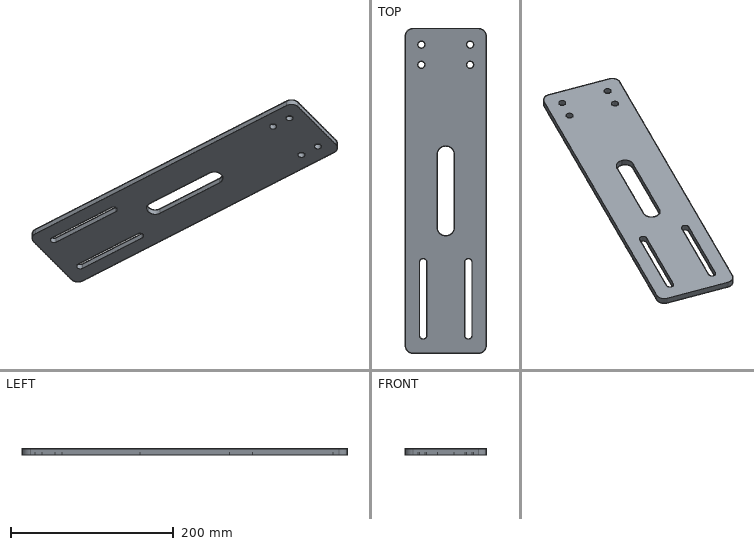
import cadquery as cq

width = 100.0
length = 400.0
thickness = 8.0
corner_radius = 10.0

hole_diameter = 8.5
hole_spacing_x = 60.0
hole_rows_y = (155.0, 180.0)

window_width = 21.0
window_length = 110.0
window_corner_radius = 10.0

slot_width = 9.0
slot_length = 99.0
slot_spacing = 55.5
slot_center_y = -133.0


def make_plate():
    plate = cq.Workplane("XY").box(width, length, thickness)
    return plate.edges("|Z").fillet(corner_radius)


def cut_mounting_holes(body):
    half_spacing = hole_spacing_x / 2
    centers = [(side * half_spacing, y) for side in (-1, 1) for y in hole_rows_y]
    return body.faces(">Z").workplane(origin=(0, 0, 0)).pushPoints(centers).hole(hole_diameter)


def cut_window(body):
    cutter = cq.Workplane("XY").box(window_width, window_length, 2 * thickness)
    return body.cut(cutter.edges("|Z").fillet(window_corner_radius))


def cut_adjustment_slots(body):
    centers = [(side * slot_spacing / 2, slot_center_y) for side in (-1, 1)]
    slots = body.faces(">Z").workplane(origin=(0, 0, 0)).pushPoints(centers)
    return slots.slot2D(slot_length, slot_width, 90).cutThruAll()


result = cut_adjustment_slots(cut_window(cut_mounting_holes(make_plate())))